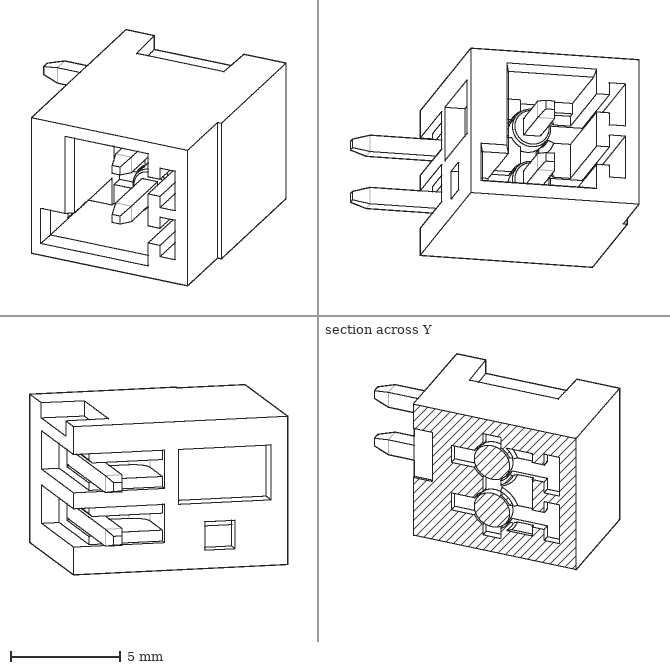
import cadquery as cq

HOUSING_WIDTH = 8.1
HOUSING_DEPTH = 10.1
HOUSING_HEIGHT = 6.9
RELIEF_WIDTH = 0.2
RELIEF_DEPTH = 3.19
MID_Z = HOUSING_HEIGHT / 2

PIN_SIZE = 0.79
PIN_TIP_SIZE = 0.41
PIN_TIP_LENGTH = 0.79
PIN_X = 3.91
PIN_Y = HOUSING_DEPTH - 1.2
PIN_PITCH = 2.49
PIN_FRONT_Y = 0.8
PIN_OVERHANG = 3.5
PIN_LEVELS = [MID_Z - PIN_PITCH / 2, MID_Z + PIN_PITCH / 2]

CAVITY_LEFT = 1.69
CAVITY_RIGHT = 5.9
CAVITY_BOTTOM = 0.6
CAVITY_TOP = 6.31
NOTCH_LEFT = 0.48
NOTCH_TOP = 2.39
LEAD_IN_WIDTH = 0.21
LEAD_IN_DEPTH = 0.6
NOTCH_FLOOR_Y = 4.6
CAVITY_FLOOR_Y = 4.8
RECESS_FLOOR_Y = 5.2
GROOVE_FLOOR_Y = 5.4
GROOVE_WIDTH = 0.87

TEE_LEFT = 6.51
TEE_RIGHT = 7.26
TEE_HEIGHT = 2.01

COLLAR_RADIUS = 0.89
COLLAR_CHAMFER = 0.09
COLLAR_FRONT_Y = 4.4
BORE_RADIUS = 0.96
RIM_BASE_RADIUS = 1.29

SLOT_SPAN = 4.3
SLOT_WEB = 0.74
SLOT_HEIGHT = (SLOT_SPAN - SLOT_WEB) / 2
SLOT_END_Y = 5.81
SLOT_DEPTH = 0.4
BACK_SLOT_Y = 9.27
PIN_CHANNEL_ENTRY = 0.14
SPAN_BOTTOM = MID_Z - SLOT_SPAN / 2
SPAN_TOP = MID_Z + SLOT_SPAN / 2

POCKET_DEPTH = 0.94
POCKET_FRONT_Y = 0.79
POCKET_BACK_Y = 5.15
POCKET_BOTTOM = 3.05
WINDOW_FRONT_Y = 2.48
WINDOW_BACK_Y = 3.91
WINDOW_BOTTOM = 0.86
WINDOW_TOP = NOTCH_TOP - LEAD_IN_WIDTH

TOP_RECESS_LEFT = 1.44
TOP_RECESS_RIGHT = 5.96
TOP_RECESS_DRAFT = 0.06
TOP_RECESS_LENGTH = 2.02
TOP_RECESS_DEPTH = 0.71


def block(x0, x1, y0, y1, z0, z1):
    """Box between two opposite corners."""
    return cq.Workplane("XY").box(x1 - x0, y1 - y0, z1 - z0, centered=False).translate((x0, y0, z0))


def plane_at(y):
    """XZ sketch plane at depth y, with extrusions going towards the back."""
    return cq.Workplane(cq.Plane(origin=(0, y, 0), xDir=(1, 0, 0), normal=(0, -1, 0)))


def slab(points, y0, y1):
    """Extrude an XZ outline from depth y0 to depth y1."""
    return plane_at(y0).polyline(points).close().extrude(y0 - y1)


def cavity_outline(inset):
    """Mouth outline, drawn in by inset on every side but the right."""
    left = CAVITY_LEFT + inset
    top = CAVITY_TOP - inset
    bottom = CAVITY_BOTTOM + inset
    notch_left = NOTCH_LEFT + inset
    notch_top = NOTCH_TOP - inset
    return [
        (left, top),
        (CAVITY_RIGHT, top),
        (CAVITY_RIGHT, bottom),
        (notch_left, bottom),
        (notch_left, notch_top),
        (left, notch_top),
    ]


def housing_block():
    body = block(0, HOUSING_WIDTH, 0, HOUSING_DEPTH, 0, HOUSING_HEIGHT)
    relief_x = HOUSING_WIDTH - RELIEF_WIDTH
    return body.cut(block(relief_x, HOUSING_WIDTH, 0, RELIEF_DEPTH, 0, HOUSING_HEIGHT))


def turned(profile, z):
    """Revolve a (radius, Y) profile about the contact leg at height z."""
    solid = cq.Workplane("XY").polyline(profile).close().revolve(360, (0, 0), (0, 1))
    return solid.translate((PIN_X, 0, z))


def collar(z):
    """Round collar with a chamfered front edge, standing on the groove floor."""
    profile = [
        (0, COLLAR_FRONT_Y),
        (COLLAR_RADIUS - COLLAR_CHAMFER, COLLAR_FRONT_Y),
        (COLLAR_RADIUS, COLLAR_FRONT_Y + COLLAR_CHAMFER),
        (COLLAR_RADIUS, GROOVE_FLOOR_Y),
        (0, GROOVE_FLOOR_Y),
    ]
    return turned(profile, z)


def conical_rim(z):
    """Cone that widens from the bore edge to the recess floor."""
    profile = [
        (0, CAVITY_FLOOR_Y),
        (BORE_RADIUS, CAVITY_FLOOR_Y),
        (RIM_BASE_RADIUS, RECESS_FLOOR_Y),
        (0, RECESS_FLOOR_Y),
    ]
    return turned(profile, z)


def collar_bore(z):
    """Round bore around the collar, down to the groove floor."""
    profile = [
        (0, CAVITY_FLOOR_Y),
        (BORE_RADIUS, CAVITY_FLOOR_Y),
        (BORE_RADIUS, GROOVE_FLOOR_Y),
        (0, GROOVE_FLOOR_Y),
    ]
    return turned(profile, z)


def cut_cavity(body):
    inner = cavity_outline(LEAD_IN_WIDTH)
    left = CAVITY_LEFT + LEAD_IN_WIDTH
    top = CAVITY_TOP - LEAD_IN_WIDTH
    bottom = CAVITY_BOTTOM + LEAD_IN_WIDTH
    half_groove = GROOVE_WIDTH / 2
    lead_in = (
        plane_at(0).polyline(cavity_outline(0)).close()
        .workplane(offset=-LEAD_IN_DEPTH).polyline(inner).close()
        .loft(ruled=True)
    )
    body = body.cut(lead_in).cut(slab(inner, LEAD_IN_DEPTH, NOTCH_FLOOR_Y))
    body = body.cut(block(left, CAVITY_RIGHT, LEAD_IN_DEPTH, CAVITY_FLOOR_Y, bottom, top))

    recess = block(PIN_X + half_groove, CAVITY_RIGHT, CAVITY_FLOOR_Y, RECESS_FLOOR_Y, SPAN_BOTTOM, SPAN_TOP)
    for z in PIN_LEVELS:
        recess = recess.cut(conical_rim(z))
    body = body.cut(recess)

    body = body.cut(
        block(PIN_X - half_groove, PIN_X + half_groove, CAVITY_FLOOR_Y, GROOVE_FLOOR_Y, bottom, top)
    )
    for z in PIN_LEVELS:
        body = body.cut(
            block(left, CAVITY_RIGHT, CAVITY_FLOOR_Y, GROOVE_FLOOR_Y, z - half_groove, z + half_groove)
        )
        body = body.cut(block(CAVITY_RIGHT, TEE_LEFT, 0, GROOVE_FLOOR_Y, z - half_groove, z + half_groove))
        body = body.cut(
            block(TEE_LEFT, TEE_RIGHT, 0, GROOVE_FLOOR_Y, z - TEE_HEIGHT / 2, z + TEE_HEIGHT / 2)
        )
    for z in PIN_LEVELS:
        body = body.cut(collar_bore(z)).union(collar(z))
    return body


def pin_channel(z):
    """Channel behind the left side for one pin, rounded at its front end."""
    wall_x = PIN_X - PIN_SIZE / 2
    far_x = PIN_X + PIN_SIZE / 2
    half = PIN_SIZE / 2
    channel = block(0, wall_x, SLOT_END_Y, BACK_SLOT_Y, z - half, z + half)
    channel = channel.edges("|Z and >X and <Y").fillet(PIN_SIZE)
    entry = (
        plane_at(BACK_SLOT_Y)
        .center(far_x / 2, z)
        .rect(far_x + 2 * PIN_CHANNEL_ENTRY, PIN_SIZE + 2 * PIN_CHANNEL_ENTRY)
        .workplane(offset=PIN_CHANNEL_ENTRY)
        .rect(far_x, PIN_SIZE)
        .loft(ruled=True)
    )
    return channel.union(entry.intersect(block(0, HOUSING_WIDTH, 0, HOUSING_DEPTH, 0, HOUSING_HEIGHT)))


def cut_rear_slots(body):
    for z, slot_bottom in zip(PIN_LEVELS, [SPAN_BOTTOM, SPAN_TOP - SLOT_HEIGHT]):
        slot_top = slot_bottom + SLOT_HEIGHT
        body = body.cut(block(0, SLOT_DEPTH, SLOT_END_Y, HOUSING_DEPTH, slot_bottom, slot_top))
        body = body.cut(block(0, CAVITY_RIGHT, BACK_SLOT_Y, HOUSING_DEPTH, slot_bottom, slot_top))
        body = body.cut(pin_channel(z))
    return body


def cut_side_openings(body):
    body = body.cut(block(0, POCKET_DEPTH, POCKET_FRONT_Y, POCKET_BACK_Y, POCKET_BOTTOM, SPAN_TOP))
    window_x = NOTCH_LEFT + LEAD_IN_WIDTH
    return body.cut(block(0, window_x, WINDOW_FRONT_Y, WINDOW_BACK_Y, WINDOW_BOTTOM, WINDOW_TOP))


def cut_top_recess(body):
    front_y = HOUSING_DEPTH - TOP_RECESS_LENGTH
    outline = [
        (TOP_RECESS_LEFT, HOUSING_DEPTH),
        (TOP_RECESS_LEFT + TOP_RECESS_DRAFT, front_y),
        (TOP_RECESS_RIGHT - TOP_RECESS_DRAFT, front_y),
        (TOP_RECESS_RIGHT, HOUSING_DEPTH),
    ]
    recess = cq.Workplane("XY", origin=(0, 0, HOUSING_HEIGHT)).polyline(outline).close()
    return body.cut(recess.extrude(-TOP_RECESS_DEPTH))


def pin_leg(length):
    """Square bar along +Z from the origin, tapered at its far end."""
    shank = length - PIN_TIP_LENGTH
    bar = cq.Workplane("XY").rect(PIN_SIZE, PIN_SIZE).extrude(shank)
    tip = (
        cq.Workplane("XY", origin=(0, 0, shank)).rect(PIN_SIZE, PIN_SIZE)
        .workplane(offset=PIN_TIP_LENGTH).rect(PIN_TIP_SIZE, PIN_TIP_SIZE)
        .loft(ruled=True)
    )
    return bar.union(tip)


def pin(z):
    """Bent pin: contact leg towards the mating face, solder leg out of the left side."""
    half = PIN_SIZE / 2
    contact = pin_leg(PIN_Y + half - PIN_FRONT_Y).rotate((0, 0, 0), (1, 0, 0), 90)
    solder = pin_leg(PIN_X + half + PIN_OVERHANG).rotate((0, 0, 0), (0, 1, 0), -90)
    contact = contact.translate((PIN_X, PIN_Y + half, z))
    solder = solder.translate((PIN_X + half, PIN_Y, z))
    return contact.union(solder)


housing = housing_block()
housing = cut_cavity(housing)
housing = cut_rear_slots(housing)
housing = cut_side_openings(housing)
housing = cut_top_recess(housing)

result = housing
for level in PIN_LEVELS:
    result = result.union(pin(level))